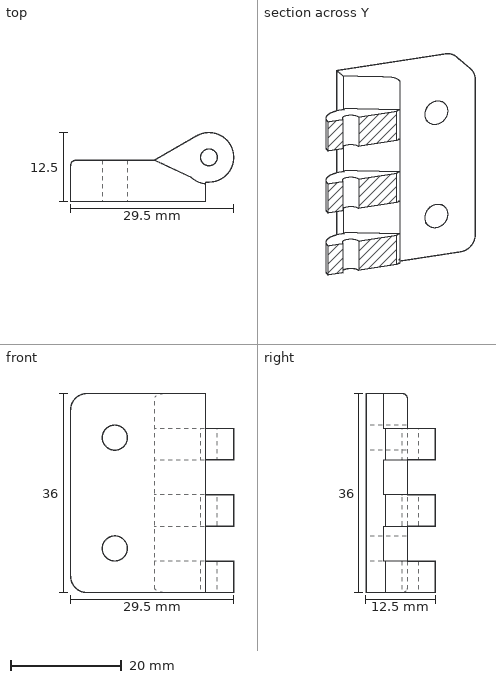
import cadquery as cq
import math

plate_width = 24.4
plate_thickness = 7.5
plate_height = 36.0
corner_radius = 3.0
edge_fillet = 1.0

screw_hole_diameter = 4.5
screw_hole_inset = 8.0

pin_x = 25.0
pin_y = 8.0
pin_diameter = 3.0
knuckle_radius = 4.5
knuckle_count = 3
knuckle_pitch = plate_height / knuckle_count
knuckle_clearance = 0.3
knuckle_height = knuckle_pitch / 2 - knuckle_clearance
knuckle_slope = math.radians(30)

relief_radius = 4.85
relief_slope = math.radians(25)

tangent_x = pin_x - knuckle_radius * math.sin(knuckle_slope)
tangent_y = pin_y + knuckle_radius * math.cos(knuckle_slope)
flank_start_x = tangent_x - (tangent_y - plate_thickness) / math.tan(knuckle_slope)


def make_plate():
    plate = cq.Workplane("XY").box(plate_width, plate_thickness, plate_height, centered=False)
    plate = plate.edges("|Y and <X").fillet(corner_radius)
    return plate.faces(">Y").edges("not >X").fillet(edge_fillet)


def drill_screw_holes(plate):
    for z in (screw_hole_inset, plate_height - screw_hole_inset):
        hole = (
            cq.Workplane("XZ")
            .center(screw_hole_inset, z)
            .circle(screw_hole_diameter / 2)
            .extrude(-plate_thickness)
        )
        plate = plate.cut(hole)
    return plate


def make_relief(bottom_z):
    """Clearance above one knuckle: a wedge down from the flank start, plus a round pocket."""
    height = knuckle_pitch - knuckle_height
    wedge_depth = (pin_x - flank_start_x) * math.tan(relief_slope)
    wedge = (
        cq.Workplane("XY", origin=(0, 0, bottom_z))
        .moveTo(flank_start_x, plate_thickness)
        .lineTo(pin_x, plate_thickness)
        .lineTo(pin_x, plate_thickness - wedge_depth)
        .close()
        .extrude(height)
    )
    pocket = (
        cq.Workplane("XY", origin=(pin_x, pin_y, bottom_z))
        .circle(relief_radius)
        .extrude(height)
    )
    return wedge.union(pocket)


def make_knuckle(bottom_z):
    """Round knuckle with a tangent flank above and a short flat into the plate below."""
    knuckle_bottom_y = pin_y - knuckle_radius
    return (
        cq.Workplane("XY", origin=(0, 0, bottom_z))
        .moveTo(flank_start_x, plate_thickness)
        .lineTo(tangent_x, tangent_y)
        .threePointArc((pin_x + knuckle_radius, pin_y), (pin_x, knuckle_bottom_y))
        .lineTo(plate_width, knuckle_bottom_y)
        .close()
        .extrude(knuckle_height)
    )


def make_pin_hole():
    return (
        cq.Workplane("XY", origin=(pin_x, pin_y, 0))
        .circle(pin_diameter / 2)
        .extrude(plate_height)
    )


result = drill_screw_holes(make_plate())
for index in range(knuckle_count):
    knuckle_z = index * knuckle_pitch
    result = result.cut(make_relief(knuckle_z + knuckle_height))
    result = result.union(make_knuckle(knuckle_z))
result = result.cut(make_pin_hole())